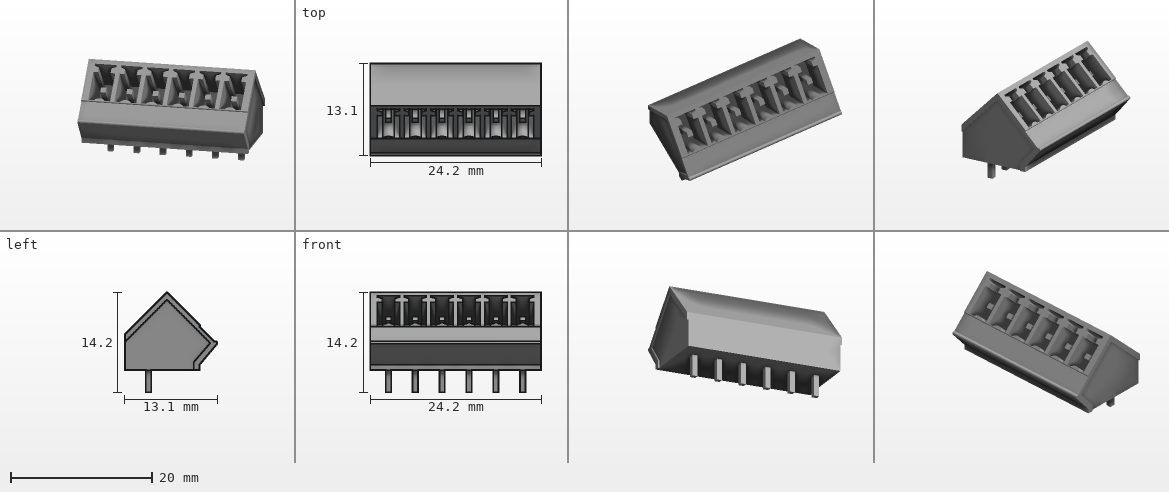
import cadquery as cq
import math

width = 24.25
peak_z = 11.05
peak_depth = 5.97
front_depth = 13.1
foot_depth = 10.6
foot_height = 0.75
lip_bottom_z = 3.73
lip_top_z = 4.07
lip_radius = 0.27

step_down = 6.75
step_recess = 0.2
step_radius = 0.15

panel_recess = 0.25
panel_back_z = 3.98
panel_peak_z = 9.97
panel_tip_depth = 12.1
panel_foot_depth = 9.77
panel_foot_height = 1.12

pin_count = 6
pin_pitch = 3.8
pin_size = 0.8
pin_drop = 3.15
pin_leg_depth = 3.35
pin_tip_down = 4.17
pin_tip_recess = 1.21

cavity_depth = 6.3
cavity_width = 3.18
channel_width = 1.82
key_top = 0.7
key_side_end = 1.0
key_flank_end = 1.29
pocket_top = 2.04
pocket_bottom = 6.55
boss_width = 1.62
boss_height = 0.36

DIAGONAL = math.sqrt(0.5)
pin_positions = [(i - (pin_count - 1) / 2) * pin_pitch for i in range(pin_count)]


def on_face(down, recess=0.0):
    """(depth from the back, Z) of a point on or below the sloping mating face."""
    return (
        peak_depth + (down - recess) * DIAGONAL,
        peak_z - (down + recess) * DIAGONAL,
    )


def prism(points, x_start, length):
    """Extrude a (depth, Z) outline along +X; depth runs from the back towards -Y."""
    side_plane = cq.Workplane("YZ", origin=(x_start, 0, 0))
    return side_plane.polyline([(-depth, z) for depth, z in points]).close().extrude(length)


def near_edge(point):
    """Selector for the full-width edge passing through a (depth, Z) point."""
    depth, z = point
    return cq.selectors.NearestToPointSelector((0, -depth, z))


def housing_block():
    step_outer = on_face(step_down)
    step_inner = on_face(step_down, step_recess)
    lip_root_depth = sum(step_inner) - lip_top_z
    lip_corner = (front_depth, lip_top_z)
    block = prism(
        [
            (0, 0),
            (0, peak_z - peak_depth),
            (peak_depth, peak_z),
            step_outer,
            step_inner,
            (lip_root_depth, lip_top_z),
            lip_corner,
            (front_depth, lip_bottom_z),
            (foot_depth, foot_height),
            (foot_depth, 0),
        ],
        -width / 2,
        width,
    )
    block = block.edges(near_edge(step_outer)).fillet(step_radius)
    return block.edges(near_edge(lip_corner)).fillet(lip_radius)


def end_panel(x_start):
    panel_tip_z = panel_peak_z - (panel_tip_depth - peak_depth)
    return prism(
        [
            (0, 0),
            (0, panel_back_z),
            (peak_depth, panel_peak_z),
            (panel_tip_depth, panel_tip_z),
            (panel_foot_depth, panel_foot_height),
            (panel_foot_depth, 0),
        ],
        x_start,
        panel_recess,
    )


def cavity(x):
    """Keyed contact cavity with a rounded boss standing on its lower wall."""
    half_cavity = cavity_width / 2
    half_channel = channel_width / 2
    half_boss = boss_width / 2
    face = cq.Plane(origin=(x, -peak_depth, peak_z), xDir=(1, 0, 0), normal=(0, -1, 1))
    right_side = [
        (half_cavity, -pocket_bottom),
        (half_cavity, -pocket_top),
        (half_channel, -pocket_top),
        (half_channel, -key_flank_end),
        (half_cavity, -key_side_end),
        (half_cavity, -key_top),
    ]
    left_side = [(-across, up) for across, up in reversed(right_side)]
    return (
        cq.Workplane(face)
        .moveTo(-half_boss, -pocket_bottom)
        .threePointArc((0, boss_height - pocket_bottom), (half_boss, -pocket_bottom))
        .polyline(right_side + left_side, includeCurrent=True)
        .close()
        .extrude(-cavity_depth)
    )


def pin(x):
    """Square contact: a vertical leg bent 45 degrees towards the mating face."""
    half = pin_size / 2
    leg_back = pin_leg_depth - half
    leg_front = pin_leg_depth + half
    tip_upper = on_face(pin_tip_down - half, pin_tip_recess)
    tip_lower = on_face(pin_tip_down + half, pin_tip_recess)
    bend_back_z = tip_upper[1] - (tip_upper[0] - leg_back)
    bend_front_z = tip_lower[1] - (tip_lower[0] - leg_front)
    return prism(
        [
            (leg_back, -pin_drop),
            (leg_back, bend_back_z),
            tip_upper,
            tip_lower,
            (leg_front, bend_front_z),
            (leg_front, -pin_drop),
        ],
        x - half,
        pin_size,
    )


pins = [pin(x) for x in pin_positions]

housing = housing_block()
for panel_start in (-width / 2, width / 2 - panel_recess):
    housing = housing.cut(end_panel(panel_start))
for x in pin_positions:
    housing = housing.cut(cavity(x))
for contact in pins:
    housing = housing.cut(contact)

result = cq.Compound.makeCompound([housing.solids().val(), *[contact.val() for contact in pins]])